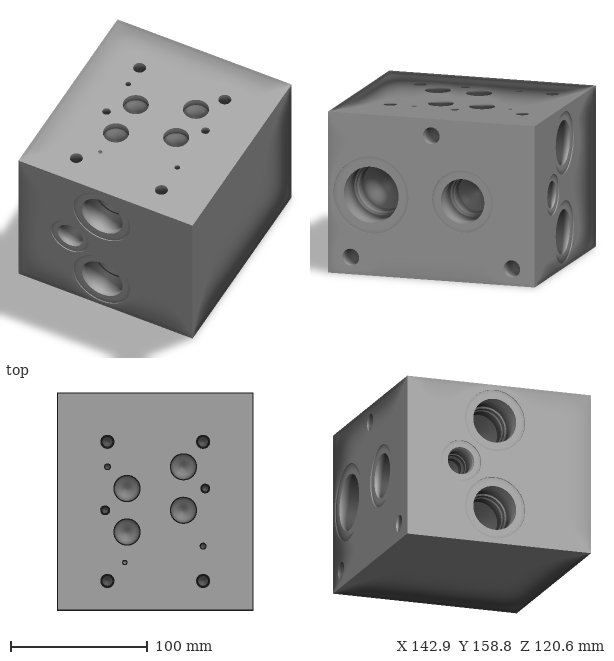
import cadquery as cq
import math

LENGTH_X = 142.9
LENGTH_Y = 158.8
HEIGHT_Z = 120.6
MID_Y = LENGTH_Y / 2
MID_Z = HEIGHT_Z / 2

DRILL_POINT_ANGLE = 118.0
POINT_SLOPE = 1 / math.tan(math.radians(DRILL_POINT_ANGLE / 2))

TOP = (0, 0, 1)
FRONT = (0, -1, 0)
LEFT = (-1, 0, 0)

SPOTFACE_DEPTH = 0.8

T_SPOTFACE = 57.6
T_THREAD = 42.0
T_TAP_DRILL = 39.4
T_CORE = 36.5
T_THREAD_DEPTH = 23.8
T_TAP_DRILL_DEPTH = 27.0
T_CORE_DEPTH = 38.1
T_Y = 125.9

SMALL_SPOTFACE = 46.5
SMALL_THREAD = 33.3
SMALL_TAP_DRILL = 30.6
SMALL_CORE = 28.5
SMALL_THREAD_DEPTH = 21.5
SMALL_TAP_DRILL_DEPTH = 25.4
SMALL_CORE_DEPTH = 35.0
P_Y = 55.5
AB_X = 68.3
AB_OFFSET_Z = 33.3

Y_SPOTFACE = 30.6
Y_SEAT = 20.6
Y_THREAD = 19.0
Y_TAP_DRILL = 17.5
Y_CORE = 14.3
Y_SEAT_DEPTH = 3.2
Y_THREAD_DEPTH = 15.9
Y_TAP_DRILL_DEPTH = 19.0
Y_CORE_DEPTH = 25.4
Y_PORT_X = 42.0

MOUNT_THREAD = 12.7
MOUNT_DRILL = 10.8
MOUNT_THREAD_DEPTH = 25.4
MOUNT_DRILL_DEPTH = 31.8
MOUNT_EDGE_Y = 17.5
MOUNT_EDGE_Z = 12.7

BOLT_THREAD = 9.5
BOLT_DRILL = 8.0
BOLT_THREAD_DEPTH = 19.0
BOLT_DRILL_DEPTH = 23.8
BOLT_SPACING_X = 69.8
BOLT_SPACING_Y = 101.6
PATTERN_X = (LENGTH_X - BOLT_SPACING_X) / 2
PATTERN_Y = 21.5

VALVE_PORT = 19.0
VALVE_PORT_DEPTH = 5.5
VALVE_PORT_PLACES = [(14.3, 35.7), (14.3, 67.5), (55.5, 51.6), (55.5, 83.3)]

PILOT_THREAD = 6.4
PILOT_DRILL = 5.1
PILOT_THREAD_DEPTH = 12.7
PILOT_DRILL_DEPTH = 15.9
PILOT_PLACES = [(-1.6, 51.6), (71.5, 67.5)]

DOWEL = 4.3
DOWEL_DEPTH = 9.5
DOWEL_PLACES = [(0.0, 83.3), (69.8, 25.4)]

VENT = 3.2
VENT_DEPTH = 1.0
VENT_PLACE = (12.7, 13.5)


def drill(steps, mouth, outward):
    """Cutter turned from (diameter, depth) corners, ending in a drill point."""
    last_diameter, last_depth = steps[-1]
    tip_depth = last_depth + last_diameter / 2 * POINT_SLOPE
    corners = [(0, 0)]
    corners += [(diameter / 2, -depth) for diameter, depth in steps]
    corners += [(0, -tip_depth)]
    cutter = cq.Workplane("XZ").polyline(corners).close().revolve(360, (0, 0), (0, 1)).val()
    return cutter.moved(cq.Location(cq.Plane(origin=mouth, normal=outward)))


def flat_step(upper, lower, depth):
    """Corners of a flat shoulder between two diameters."""
    return [(upper, depth), (lower, depth)]


def cone_step(upper, lower, depth):
    """Corners of a drill-point shoulder between two diameters."""
    return [(upper, depth), (lower, depth + (upper - lower) / 2 * POINT_SLOPE)]


def tapped_hole(thread, drill_diameter, thread_depth, drill_depth):
    """Corners of a thread bore over a deeper, narrower drill hole."""
    return [
        (thread, 0),
        *flat_step(thread, drill_diameter, thread_depth),
        (drill_diameter, drill_depth),
    ]


def plain_hole(diameter, depth):
    """Corners of a drill hole with one diameter."""
    return [(diameter, 0), (diameter, depth)]


t_port = [
    (T_SPOTFACE, 0),
    *flat_step(T_SPOTFACE, T_THREAD, SPOTFACE_DEPTH),
    *flat_step(T_THREAD, T_TAP_DRILL, T_THREAD_DEPTH),
    *cone_step(T_TAP_DRILL, T_CORE, T_TAP_DRILL_DEPTH),
    (T_CORE, T_CORE_DEPTH),
]
small_port = [
    (SMALL_SPOTFACE, 0),
    *flat_step(SMALL_SPOTFACE, SMALL_THREAD, SPOTFACE_DEPTH),
    *flat_step(SMALL_THREAD, SMALL_TAP_DRILL, SMALL_THREAD_DEPTH),
    *cone_step(SMALL_TAP_DRILL, SMALL_CORE, SMALL_TAP_DRILL_DEPTH),
    (SMALL_CORE, SMALL_CORE_DEPTH),
]
y_port = [
    (Y_SPOTFACE, 0),
    *flat_step(Y_SPOTFACE, Y_SEAT, SPOTFACE_DEPTH),
    (Y_THREAD, Y_SEAT_DEPTH),
    *flat_step(Y_THREAD, Y_TAP_DRILL, Y_THREAD_DEPTH),
    *cone_step(Y_TAP_DRILL, Y_CORE, Y_TAP_DRILL_DEPTH),
    (Y_CORE, Y_CORE_DEPTH),
]
mount_hole = tapped_hole(MOUNT_THREAD, MOUNT_DRILL, MOUNT_THREAD_DEPTH, MOUNT_DRILL_DEPTH)
bolt_hole = tapped_hole(BOLT_THREAD, BOLT_DRILL, BOLT_THREAD_DEPTH, BOLT_DRILL_DEPTH)
pilot_hole = tapped_hole(PILOT_THREAD, PILOT_DRILL, PILOT_THREAD_DEPTH, PILOT_DRILL_DEPTH)

cutters = []

cutters.append(drill(t_port, (0, T_Y, MID_Z), LEFT))
cutters.append(drill(small_port, (0, P_Y, MID_Z), LEFT))
mount_places = [
    (MOUNT_EDGE_Y, MOUNT_EDGE_Z),
    (LENGTH_Y - MOUNT_EDGE_Y, MOUNT_EDGE_Z),
    (MID_Y, HEIGHT_Z - MOUNT_EDGE_Z),
]
for y, z in mount_places:
    cutters.append(drill(mount_hole, (0, y, z), LEFT))

for z in (MID_Z - AB_OFFSET_Z, MID_Z + AB_OFFSET_Z):
    cutters.append(drill(small_port, (AB_X, 0, z), FRONT))
cutters.append(drill(y_port, (Y_PORT_X, 0, MID_Z), FRONT))

bolt_places = [(x, y) for x in (0, BOLT_SPACING_X) for y in (0, BOLT_SPACING_Y)]
valve_pattern = [
    (bolt_hole, bolt_places),
    (plain_hole(VALVE_PORT, VALVE_PORT_DEPTH), VALVE_PORT_PLACES),
    (pilot_hole, PILOT_PLACES),
    (plain_hole(DOWEL, DOWEL_DEPTH), DOWEL_PLACES),
    (plain_hole(VENT, VENT_DEPTH), [VENT_PLACE]),
]
for steps, places in valve_pattern:
    for x, y in places:
        cutters.append(drill(steps, (PATTERN_X + x, PATTERN_Y + y, HEIGHT_Z), TOP))

result = cq.Workplane("XY").box(LENGTH_X, LENGTH_Y, HEIGHT_Z, centered=False)
for cutter in cutters:
    result = result.cut(cq.Workplane(cutter))